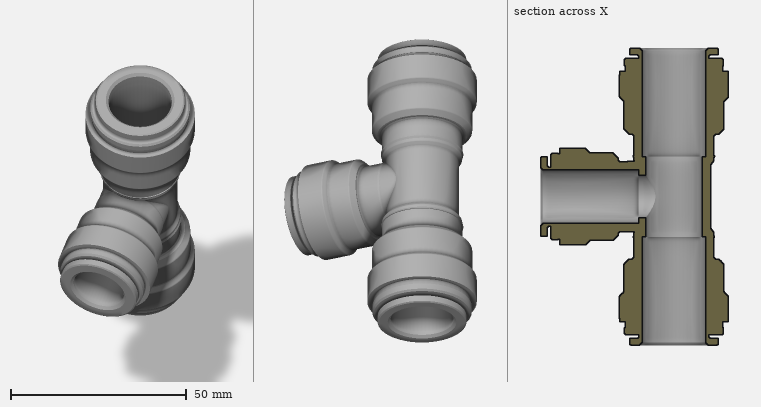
import cadquery as cq

run_reach = 42.25
run_collar_diameter = 31.1
run_flange_diameter = 25.3
run_neck_diameter = 20.0
run_spigot_diameter = 22.9
run_tube_diameter = 18.0
run_bore_diameter = 16.0
run_groove_width = 1.5
run_body_length = 7.9
run_spigot_length = 7.4
run_stop_depth = 30.85

branch_reach = 37.9
branch_collar_diameter = 27.55
branch_flange_diameter = 22.8
branch_neck_diameter = 16.9
branch_spigot_diameter = 20.1
branch_tube_diameter = 15.0
branch_bore_diameter = 12.0
branch_groove_width = 0.4
branch_body_length = 6.5
branch_spigot_length = 6.3
branch_stop_depth = 27.9

collar_step = 1.3
collar_width = 7.35
lip_inset = 0.13
lip_width = 2.2
lip_bevel = 0.5
groove_depth = 0.2
body_bevel = 1.5
edge_round = 0.5
spigot_root = 0.4
collet_gap = 0.85
collet_width = 2.0
collet_root = 0.3
collet_bevel_radial = 0.4
collet_bevel_axial = 0.25
mouth_bevel = 0.8

barrel_diameter = 21.1
run_taper_length = 1.2

ring_diameter = 23.5
ring_width = 0.6
ring_position = 30.6

branch_root_diameter = 19.8
branch_taper_length = 0.5


def revolved(profile):
    """Solid of revolution about Z from (radius, height) points."""
    return cq.Workplane("XZ").polyline(profile).close().revolve(360, (0, 0), (0, 1))


def connector_end(reach, collar_diameter, flange_diameter, neck_diameter, groove_width,
                  body_length, spigot_diameter, spigot_length, taper_length, root_diameter,
                  round_taper):
    """Solid connector end on the +Z axis, from the origin up to the given reach."""
    collar = collar_diameter / 2
    body = collar - collar_step
    lip = body - lip_inset
    groove = lip - groove_depth
    spigot = spigot_diameter / 2
    flange = flange_diameter / 2
    neck = neck_diameter / 2
    root = root_diameter / 2

    flange_back = reach - collet_width
    lip_top = flange_back - collet_gap
    lip_bottom = lip_top - lip_width
    collar_top = lip_bottom - groove_width
    collar_bottom = collar_top - collar_width
    body_top = collar_bottom - collar_step
    body_bottom = body_top - body_length
    shoulder = body_bottom - body_bevel
    taper_top = shoulder - spigot_length
    taper_bottom = taper_top - taper_length

    profile = [
        (0, reach),
        (flange - collet_bevel_radial, reach),
        (flange, reach - collet_bevel_axial),
        (flange, flange_back),
        (neck + collet_root, flange_back),
        (neck, flange_back - collet_root),
        (neck, lip_top),
        (lip - lip_bevel, lip_top),
        (lip, lip_top - lip_bevel),
        (lip, lip_bottom),
        (groove, lip_bottom),
        (groove, collar_top),
        (collar, collar_top),
        (collar, collar_bottom),
        (body, body_top),
        (body, body_bottom),
        (body - body_bevel, shoulder),
        (spigot + spigot_root, shoulder),
        (spigot, shoulder - spigot_root),
        (spigot, taper_top),
        (root, taper_bottom),
        (root, 0),
        (0, 0),
    ]
    end = revolved(profile)
    rounded_heights = [collar_bottom, body_top, body_bottom]
    if round_taper:
        rounded_heights += [taper_top, taper_bottom]
    for height in rounded_heights:
        circle = cq.selectors.NearestToPointSelector((0, 0, height))
        end = end.edges(circle).fillet(edge_round)
    return end


def end_bore(reach, tube_diameter, bore_diameter, stop_depth):
    """Stepped passage on the +Z axis, from the origin out through the mouth."""
    tube = tube_diameter / 2
    bore = bore_diameter / 2
    stop = reach - stop_depth
    profile = [
        (0, 0),
        (bore, 0),
        (bore, stop),
        (tube, stop),
        (tube, reach - mouth_bevel),
        (tube + mouth_bevel, reach),
        (0, reach),
    ]
    return revolved(profile)


def to_both_run_ends(shape):
    return shape.union(shape.mirror("XY"))


def to_branch(shape):
    return shape.rotate((0, 0, 0), (1, 0, 0), 90)


run_end = connector_end(
    run_reach, run_collar_diameter, run_flange_diameter, run_neck_diameter, run_groove_width,
    run_body_length, run_spigot_diameter, run_spigot_length, run_taper_length, barrel_diameter,
    round_taper=True,
)
ring_top = run_reach - ring_position
ring = revolved([
    (0, ring_top),
    (ring_diameter / 2, ring_top),
    (run_spigot_diameter / 2, ring_top - ring_width),
    (0, ring_top - ring_width),
])
branch_end = connector_end(
    branch_reach, branch_collar_diameter, branch_flange_diameter, branch_neck_diameter,
    branch_groove_width, branch_body_length, branch_spigot_diameter, branch_spigot_length,
    branch_taper_length, branch_root_diameter,
    round_taper=False,
)
run_bore = end_bore(run_reach, run_tube_diameter, run_bore_diameter, run_stop_depth)
branch_bore = end_bore(branch_reach, branch_tube_diameter, branch_bore_diameter, branch_stop_depth)

tee = to_both_run_ends(run_end.union(ring)).union(to_branch(branch_end))
result = tee.cut(to_both_run_ends(run_bore)).cut(to_branch(branch_bore))